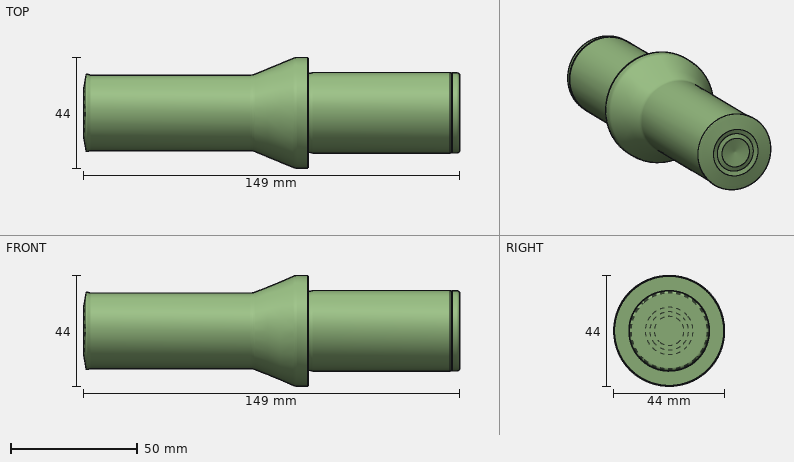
import cadquery as cq
import math

total_length = 149.0
spigot_radius = 30.0 / 2
shank_radius = 32.0 / 2
neck_radius = 31.5 / 2
collar_radius = 44.0 / 2

shoulder_x = 89.0
collar_edge_chamfer = 0.4
cone_angle = math.radians(22.5)
cone_foot_x = 67.0
cone_foot_blend = 5.0
cone_top_blend = 4.0

neck_length = 0.9
neck_taper_length = 0.9

bead_radius = 30.6 / 2
bead_end_x = 1.8
bead_taper_length = 1.0
bead_crown_x = 1.15
bead_crown_radius = 15.25

face_rim_radius = 9.4
face_cone_angle = math.radians(10.0)
face_seam_radius = 13.85
rim_cone_angle = math.radians(11.0)
face_edge_radius = 14.9
face_groove_radius = 7.6
face_groove_depth = 0.5
dish_radius = 5.8
dish_depth = 0.9
dish_floor_radius = 0.25

cap_radius = 31.8 / 2
cap_edge_round = 1.2
joint_radius = 15.8
joint_x = 145.7
shank_chamfer_length = 0.6
cap_chamfer_length = 0.3


def tangent_arc(x, radius, blend, angle_in, angle_out):
    """Start, middle and end of the arc that rounds the corner at (x, radius)."""
    turn = math.copysign(1, angle_out - angle_in)
    reach = blend * math.tan(abs(angle_out - angle_in) / 2)
    start = (x - reach * math.cos(angle_in), radius - reach * math.sin(angle_in))
    end = (x + reach * math.cos(angle_out), radius + reach * math.sin(angle_out))
    centre_x = start[0] - turn * blend * math.sin(angle_in)
    centre_radius = start[1] + turn * blend * math.cos(angle_in)
    half_way = (angle_in + angle_out) / 2
    middle = (
        centre_x + turn * blend * math.sin(half_way),
        centre_radius - turn * blend * math.cos(half_way),
    )
    return start, middle, end


def revolve(outline):
    """Close the half section on the axis and turn it about X."""
    return outline.close().revolve(360, (0, 0, 0), (1, 0, 0))


def make_body():
    """Spigot, collar and shank turned as one piece, from the left end face to the cap joint."""
    cone_top_x = cone_foot_x + (collar_radius - spigot_radius) / math.tan(cone_angle)
    foot = tangent_arc(cone_foot_x, spigot_radius, cone_foot_blend, 0, cone_angle)
    top = tangent_arc(cone_top_x, collar_radius, cone_top_blend, cone_angle, 0)
    seam_x = (face_seam_radius - face_rim_radius) * math.tan(face_cone_angle)
    edge_x = seam_x + (face_edge_radius - face_seam_radius) * math.tan(rim_cone_angle)
    outline = (
        cq.Workplane("XY")
        .moveTo(dish_depth, 0)
        .lineTo(dish_depth, dish_floor_radius)
        .lineTo(0, dish_radius)
        .lineTo(face_groove_depth, face_groove_radius)
        .lineTo(0, face_rim_radius)
        .lineTo(seam_x, face_seam_radius)
        .lineTo(edge_x, face_edge_radius)
        .threePointArc((bead_crown_x, bead_crown_radius), (bead_end_x, bead_radius))
        .lineTo(bead_end_x + bead_taper_length, spigot_radius)
        .lineTo(*foot[0])
        .threePointArc(foot[1], foot[2])
        .lineTo(*top[0])
        .threePointArc(top[1], top[2])
        .lineTo(shoulder_x - collar_edge_chamfer, collar_radius)
        .lineTo(shoulder_x, collar_radius - collar_edge_chamfer)
        .lineTo(shoulder_x, neck_radius)
        .lineTo(shoulder_x + neck_length, neck_radius)
        .lineTo(shoulder_x + neck_length + neck_taper_length, shank_radius)
        .lineTo(joint_x - shank_chamfer_length, shank_radius)
        .lineTo(joint_x, joint_radius)
        .lineTo(joint_x, 0)
    )
    return revolve(outline)


def make_end_cap():
    """Round disc that closes the right end of the shank."""
    round_start_x = total_length - cap_edge_round
    end_face_radius = cap_radius - cap_edge_round
    round_middle = cap_edge_round * math.sqrt(0.5)
    outline = (
        cq.Workplane("XY")
        .moveTo(joint_x, 0)
        .lineTo(joint_x, joint_radius)
        .lineTo(joint_x + cap_chamfer_length, cap_radius)
        .lineTo(round_start_x, cap_radius)
        .threePointArc(
            (round_start_x + round_middle, end_face_radius + round_middle),
            (total_length, end_face_radius),
        )
        .lineTo(total_length, 0)
    )
    return revolve(outline)


body = make_body()
end_cap = make_end_cap()

result = cq.Compound.makeCompound([body.val(), end_cap.val()])